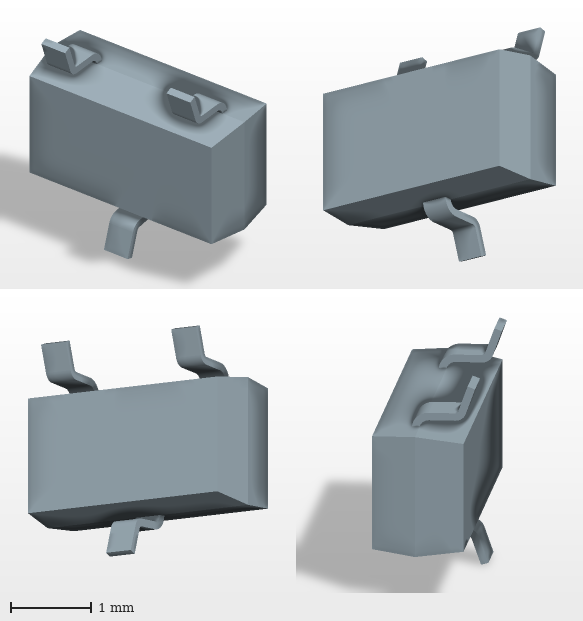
import cadquery as cq
import math

length = 2.93
height = 1.62
front_depth = 0.6
back_depth = 0.55
front_inset = 0.082
back_inset = 0.047

lead_thickness = 0.1
lead_width = 0.36
lead_pitch = 1.902
root_embed = 0.023
root_bend_radius = 0.123
foot_bend_radius = 0.05
shank_length = 0.335
shank_angle = 3.0
foot_angle = 71.0
tip_reach = 1.4


def tapered_half(depth, inset):
    """Frustum whose base is on the parting plane; positive depth runs towards -Y."""
    return (
        cq.Workplane("XZ")
        .rect(length, height)
        .workplane(offset=depth)
        .rect(length - 2 * inset, height - 2 * inset)
        .loft(ruled=True)
    )


def moved(point, distance, angle):
    """Point moved in the YZ plane, with the angle measured from -Y towards +Z."""
    radians = math.radians(angle)
    return (point[0] - distance * math.cos(radians), point[1] + distance * math.sin(radians))


def make_lead(x_center):
    """Upward lead: root bend, nearly level shank, foot bend and sloping foot."""
    root_outer_radius = root_bend_radius + lead_thickness
    foot_outer_radius = foot_bend_radius + lead_thickness
    shank_normal = 90 + shank_angle
    foot_normal = 90 + foot_angle

    root_center = (-root_bend_radius, height / 2 - root_embed)
    root_middle_angle = (180 + shank_normal) / 2

    shank_end = moved(moved(root_center, root_outer_radius, shank_normal), shank_length, shank_angle)
    foot_center = moved(shank_end, foot_bend_radius, shank_normal)
    foot_middle_angle = (shank_angle + foot_angle) / 2 - 90

    foot_start = moved(foot_center, -foot_bend_radius, foot_normal)
    foot_length = (tip_reach - foot_start[1]) / math.sin(math.radians(foot_angle))
    tip = moved(foot_start, foot_length, foot_angle)

    return (
        cq.Workplane("YZ", origin=(x_center - lead_width / 2, 0, 0))
        .moveTo(*moved(root_center, root_outer_radius, 180))
        .threePointArc(
            moved(root_center, root_outer_radius, root_middle_angle),
            moved(root_center, root_outer_radius, shank_normal),
        )
        .lineTo(*shank_end)
        .threePointArc(moved(foot_center, foot_bend_radius, foot_middle_angle), foot_start)
        .lineTo(*tip)
        .lineTo(*moved(tip, -lead_thickness, foot_normal))
        .lineTo(*moved(foot_center, -foot_outer_radius, foot_normal))
        .threePointArc(
            moved(foot_center, foot_outer_radius, foot_middle_angle),
            moved(foot_center, -foot_outer_radius, shank_normal),
        )
        .lineTo(*moved(root_center, root_bend_radius, shank_normal))
        .threePointArc(
            moved(root_center, root_bend_radius, root_middle_angle),
            moved(root_center, root_bend_radius, 180),
        )
        .close()
        .extrude(lead_width)
    )


leads = [make_lead(x_center) for x_center in (-lead_pitch / 2, lead_pitch / 2)]
leads.append(make_lead(0).mirror("XY"))

housing = tapered_half(front_depth, front_inset).union(tapered_half(-back_depth, back_inset))
for lead in leads:
    housing = housing.cut(lead)

result = cq.Compound.makeCompound([housing.val(), *[lead.val() for lead in leads]])